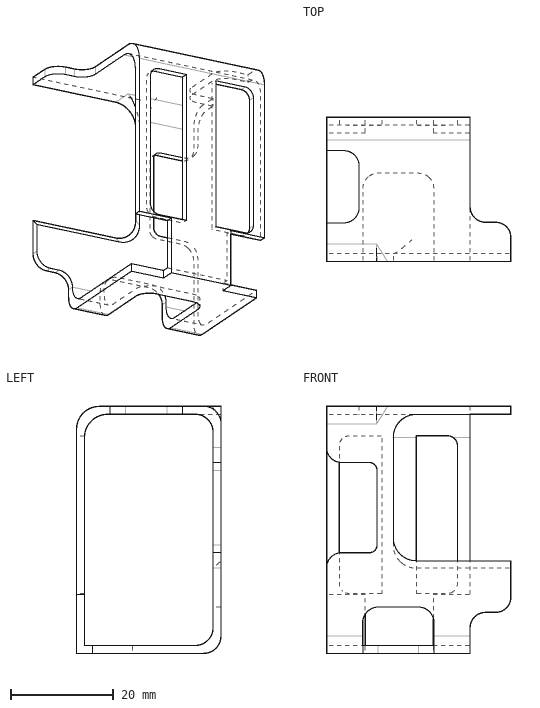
import cadquery as cq
import math

LENGTH = 35.95
DEPTH = 28.2
HEIGHT = 48.2
WALL = 1.6
BODY_LENGTH = 28.0

FRONT_BEND = 3.4
REAR_BEND = 4.5
CORNER = 3.0
SMALL_CORNER = 1.5

ROOF_EAR_DEPTH = 7.7
FRONT_EAR_BOTTOM = 8.0

SIDE_NOTCH_LENGTH = 9.85
SIDE_NOTCH_BOTTOM = 19.65
SIDE_NOTCH_TOP = 37.2
FRONT_OPENING_START = 13.0
FRONT_OPENING_BOTTOM = 18.08
FRONT_OPENING_CORNER = 4.5
EAR_BEVEL_DROP = 1.45

ROOF_NOTCH_LENGTH = 6.35
ROOF_NOTCH_START = 7.55
ROOF_NOTCH_END = 21.65

BEND_CUTOUT_START = 7.1
BEND_CUTOUT_END = 20.9
BEND_CUTOUT_TOP = 9.05
BEND_CUTOUT_BACK = 17.25

REAR_MARGIN = 2.5
WINDOW_BOTTOM = 11.7
WINDOW_TOP = 42.4
WINDOW_CORNER = 1.9
POST_START = 10.85
POST_END = 17.5
FRAME_BOTTOM = 11.5
LEG_START = 7.5
LEG_END = 20.8
FLOOR_DEPTH = 25.05

ROUNDED_EDGE_LENGTH = 9.8
ROUNDED_EDGE_RUNOUT = 11.9
RUNOUT_TIP_RADIUS = 0.01

ROOF_UNDERSIDE = HEIGHT - WALL
REAR_INNER_FACE = DEPTH - WALL
FRONT_CUT_DEPTH = WALL + FRONT_BEND


def block(x0, x1, y0, y1, z0, z1):
    """Box given by its limits along each axis."""
    return cq.Workplane("XY").box(x1 - x0, y1 - y0, z1 - z0, centered=False).translate((x0, y0, z0))


def round_at(solid, axis, x, radius):
    """Round the edges parallel to axis that lie at the given x."""
    margin = 0.005
    selector = cq.selectors.BoxSelector(
        (x - margin, -LENGTH, -HEIGHT), (x + margin, 2 * LENGTH, 2 * HEIGHT)
    )
    return solid.edges(f"|{axis}").edges(selector).fillet(radius)


def bent_shell():
    """Closed rectangular tube along X, with its upper front edge still sharp."""
    outer = block(0, LENGTH, 0, DEPTH, 0, HEIGHT)
    outer = outer.edges("|X and <Y and <Z").fillet(FRONT_BEND)
    outer = outer.edges("|X and >Y and >Z").fillet(REAR_BEND)
    inner = block(0, LENGTH, WALL, REAR_INNER_FACE, WALL, ROOF_UNDERSIDE)
    inner = inner.edges("|X and <Y").fillet(FRONT_BEND)
    inner = inner.edges("|X and >Y and >Z").fillet(REAR_BEND)
    return outer.cut(inner)


def ear_step(plane, start, end):
    """Sketch of the material to remove beside an ear, bounded by an S-shaped step.

    X is the sketch's first axis. Along its second axis, start is the edge of the ear and
    end is the edge of the part.
    """
    side = math.copysign(1, end - start)
    diagonal = CORNER * math.sqrt(0.5)
    inside_mid = (BODY_LENGTH + CORNER - diagonal, start + side * (CORNER - diagonal))
    outside_mid = (LENGTH - CORNER + diagonal, start - side * (CORNER - diagonal))
    return (
        cq.Workplane(plane)
        .moveTo(BODY_LENGTH, end)
        .lineTo(BODY_LENGTH, start + side * CORNER)
        .threePointArc(inside_mid, (BODY_LENGTH + CORNER, start))
        .lineTo(LENGTH - CORNER, start)
        .threePointArc(outside_mid, (LENGTH, start - side * CORNER))
        .lineTo(LENGTH, end)
        .close()
    )


def ear_cuts():
    """Trim everything beyond the body except the roof ear and the front ear."""
    roof = ear_step("XY", ROOF_EAR_DEPTH, DEPTH).extrude(HEIGHT)
    front = ear_step("XZ", FRONT_EAR_BOTTOM, 0).extrude(-DEPTH)
    between = block(BODY_LENGTH, LENGTH, WALL, DEPTH, 0, ROOF_UNDERSIDE)
    roof_layer = block(0, LENGTH, 0, DEPTH, ROOF_UNDERSIDE, HEIGHT)
    return roof.intersect(roof_layer).union(front).union(between)


def side_notch():
    """Notch in the left edge of the front wall; its mouth flares out in two arcs."""
    diagonal = CORNER * math.sqrt(0.5)
    low = SIDE_NOTCH_BOTTOM
    high = SIDE_NOTCH_TOP
    notch = (
        cq.Workplane("XZ")
        .moveTo(0, low - CORNER)
        .threePointArc((CORNER - diagonal, low - CORNER + diagonal), (CORNER, low))
        .lineTo(SIDE_NOTCH_LENGTH, low)
        .lineTo(SIDE_NOTCH_LENGTH, high)
        .lineTo(CORNER, high)
        .threePointArc((CORNER - diagonal, high + CORNER - diagonal), (0, high + CORNER))
        .close()
        .extrude(-WALL)
    )
    return round_at(notch, "Y", SIDE_NOTCH_LENGTH, SMALL_CORNER)


def front_opening():
    opening = block(
        FRONT_OPENING_START, LENGTH, 0, FRONT_CUT_DEPTH, FRONT_OPENING_BOTTOM, ROOF_UNDERSIDE
    )
    return round_at(opening, "Y", FRONT_OPENING_START, FRONT_OPENING_CORNER)


def opening_profile(y, bottom):
    """Outline of the lower half of the front opening, on the plane at depth y."""
    corner_offset = FRONT_OPENING_CORNER * (1 - math.sqrt(0.5))
    middle = (FRONT_OPENING_BOTTOM + ROOF_UNDERSIDE) / 2
    sketch = (
        cq.Workplane("XZ", origin=(0, y, 0))
        .moveTo(FRONT_OPENING_START, middle)
        .lineTo(FRONT_OPENING_START, bottom + FRONT_OPENING_CORNER)
        .threePointArc(
            (FRONT_OPENING_START + corner_offset, bottom + corner_offset),
            (FRONT_OPENING_START + FRONT_OPENING_CORNER, bottom),
        )
        .lineTo(LENGTH, bottom)
        .lineTo(LENGTH, middle)
        .close()
    )
    return sketch.wire().val()


def ear_bevel():
    """Slope the lower edge and corner of the front opening down towards the inside."""
    outside = opening_profile(0, FRONT_OPENING_BOTTOM)
    inside = opening_profile(WALL, FRONT_OPENING_BOTTOM - EAR_BEVEL_DROP)
    return cq.Workplane(cq.Solid.makeLoft([outside, inside], True))


def roof_notch():
    notch = block(0, ROOF_NOTCH_LENGTH, ROOF_NOTCH_START, ROOF_NOTCH_END, ROOF_UNDERSIDE, HEIGHT)
    return round_at(notch, "Z", ROOF_NOTCH_LENGTH, CORNER)


def bend_cutout():
    """Opening through the front wall, the lower bend and the floor."""
    in_wall = block(BEND_CUTOUT_START, BEND_CUTOUT_END, 0, FRONT_CUT_DEPTH, 0, BEND_CUTOUT_TOP)
    in_wall = in_wall.edges("|Y and >Z").fillet(CORNER)
    in_floor = block(BEND_CUTOUT_START, BEND_CUTOUT_END, 0, BEND_CUTOUT_BACK, 0, WALL)
    in_floor = in_floor.edges("|Z and >Y").fillet(CORNER)
    return in_wall.union(in_floor)


def rear_windows():
    """Two windows, rounded only on the side away from the post between them."""
    y0 = REAR_INNER_FACE - REAR_BEND
    left = block(REAR_MARGIN, POST_START, y0, DEPTH, WINDOW_BOTTOM, WINDOW_TOP)
    left = round_at(left, "Y", REAR_MARGIN, WINDOW_CORNER)
    right_end = BODY_LENGTH - REAR_MARGIN
    right = block(POST_END, right_end, y0, DEPTH, WINDOW_BOTTOM, WINDOW_TOP)
    right = round_at(right, "Y", right_end, WINDOW_CORNER)
    return left.union(right)


def leg_clearances():
    """Free the rear wall from the floor on both sides of the leg."""
    left = block(0, LEG_START, FLOOR_DEPTH, DEPTH, 0, FRAME_BOTTOM)
    right = block(LEG_END, LENGTH, FLOOR_DEPTH, DEPTH, 0, FRAME_BOTTOM)
    return left.union(right)


def edge_waste(x, radius):
    """Sketch of the corner left outside a rounded upper front edge."""
    middle = radius * (1 - math.sqrt(0.5))
    return (
        cq.Workplane("YZ", origin=(x, 0, 0))
        .moveTo(0, HEIGHT)
        .lineTo(0, HEIGHT - radius)
        .threePointArc((middle, HEIGHT - middle), (radius, HEIGHT))
        .close()
    )


def rounded_edge():
    """Constant rounding that fades out to the sharp edge."""
    straight = edge_waste(0, FRONT_BEND).extrude(ROUNDED_EDGE_LENGTH)
    large = edge_waste(ROUNDED_EDGE_LENGTH, FRONT_BEND).wire().val()
    tip = edge_waste(ROUNDED_EDGE_RUNOUT, RUNOUT_TIP_RADIUS).wire().val()
    runout = cq.Workplane(cq.Solid.makeLoft([large, tip], True))
    return straight.union(runout)


result = bent_shell()
for cut in (
    ear_cuts(),
    side_notch(),
    front_opening(),
    ear_bevel(),
    roof_notch(),
    bend_cutout(),
    rear_windows(),
    leg_clearances(),
    rounded_edge(),
):
    result = result.cut(cut)